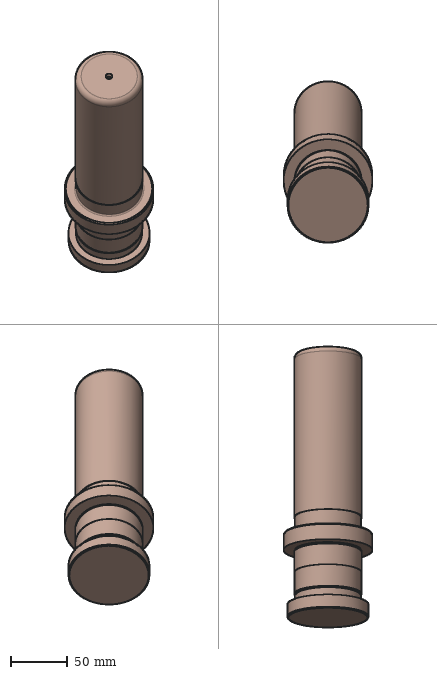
import cadquery as cq
import math


total_height = 242.0
foot_flange_top = 12.0
foot_top = 20.5
spigot_step = 41.5
collar_bottom = 62.0
collar_top = 77.0
neck_top = 92.0

shaft_diameter = 60.0
spigot_lower_diameter = 59.8
spigot_upper_diameter = 60.0
neck_diameter = 59.0
collar_diameter = 79.0
foot_flange_diameter = 72.0
foot_neck_diameter = 59.0

nose_radius = 5.0
collar_chamfer = 1.2
foot_chamfer = 1.0
spigot_chamfer = 1.2
undercut_depth = 0.7
undercut_height = 1.5
root_radius = 1.2

centre_mouth_diameter = 5.8
centre_pilot_diameter = 3.0
centre_pilot_depth = 3.6
countersink_half_angle = math.radians(30)


def make_foot():
    """Flanged foot with a plain neck that carries the pillar."""
    flange = cq.Workplane("XY").circle(foot_flange_diameter / 2).extrude(foot_flange_top)
    flange = flange.faces("<Z").edges().chamfer(foot_chamfer)
    neck = cq.Workplane("XY").circle(foot_neck_diameter / 2).extrude(foot_top)
    return flange.union(neck)


def make_centre_hole():
    """Cutter for the centre drilling: a 60 degree countersink above a short pilot."""
    mouth_radius = centre_mouth_diameter / 2
    pilot_radius = centre_pilot_diameter / 2
    cone_bottom = total_height - (mouth_radius - pilot_radius) / math.tan(countersink_half_angle)
    return (
        cq.Workplane("XZ")
        .moveTo(0, total_height)
        .lineTo(mouth_radius, total_height)
        .lineTo(pilot_radius, cone_bottom)
        .lineTo(pilot_radius, cone_bottom - centre_pilot_depth)
        .lineTo(0, cone_bottom - centre_pilot_depth)
        .close()
        .revolve()
    )


def make_pillar():
    """Pillar revolved from its half section: spigot, collar, neck and shaft with a rounded nose."""
    shaft_radius = shaft_diameter / 2
    neck_radius = neck_diameter / 2
    collar_radius = collar_diameter / 2
    lower_radius = spigot_lower_diameter / 2
    upper_radius = spigot_upper_diameter / 2
    undercut_radius = upper_radius - undercut_depth
    root_sag = root_radius * (1 - math.sqrt(0.5))
    nose_inset = nose_radius * (1 - math.sqrt(0.5))

    body = (
        cq.Workplane("XZ")
        .moveTo(0, foot_top)
        .lineTo(lower_radius - spigot_chamfer, foot_top)
        .lineTo(lower_radius, foot_top + spigot_chamfer)
        .lineTo(lower_radius, spigot_step)
        .lineTo(upper_radius, spigot_step)
        .lineTo(upper_radius, collar_bottom - undercut_height)
        .lineTo(undercut_radius, collar_bottom - undercut_height)
        .lineTo(undercut_radius, collar_bottom)
        .lineTo(collar_radius, collar_bottom)
        .lineTo(collar_radius, collar_top - collar_chamfer)
        .lineTo(collar_radius - collar_chamfer, collar_top)
        .lineTo(neck_radius + root_radius, collar_top)
        .threePointArc(
            (neck_radius + root_sag, collar_top + root_sag),
            (neck_radius, collar_top + root_radius),
        )
        .lineTo(neck_radius, neck_top)
        .lineTo(shaft_radius, neck_top)
        .lineTo(shaft_radius, total_height - nose_radius)
        .threePointArc(
            (shaft_radius - nose_inset, total_height - nose_inset),
            (shaft_radius - nose_radius, total_height),
        )
        .lineTo(0, total_height)
        .close()
        .revolve()
    )
    return body.cut(make_centre_hole())


foot = make_foot()
pillar = make_pillar()
result = cq.Compound.makeCompound([foot.val(), pillar.val()])